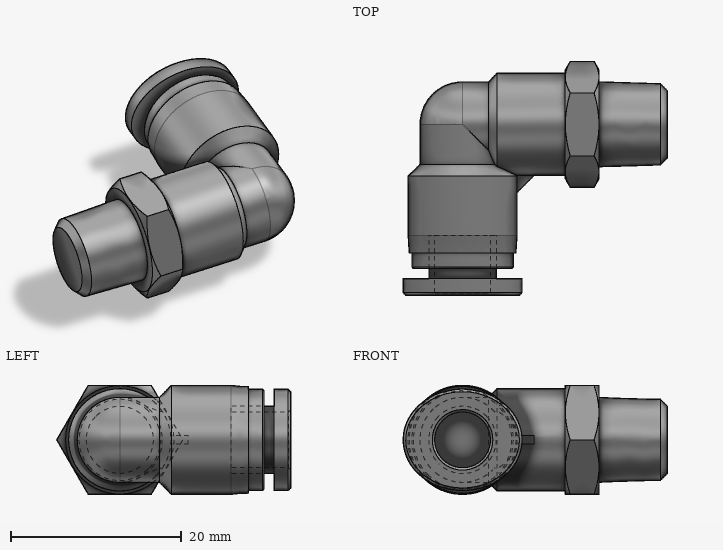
import cadquery as cq
import math


neck_radius = 5.0
threaded_arm_radius = 12.0 / 2
threaded_arm_cone_start = 3.07
threaded_arm_cone_end = 4.03
push_arm_radius = 12.8 / 2
push_arm_cone_start = 4.68
push_arm_cone_end = 6.05
push_arm_taper_start = 13.05
push_arm_taper_end = 15.1
push_arm_taper_radius = 6.25
collar_radius = 11.9 / 2
collar_end = 16.93
collar_chamfer = 0.2
rib_thickness = 1.0
rib_reach = 14.38

hex_start = 12.03
hex_length = 4.0
hex_sides = 6
hex_across_flats = 12.8
hex_chamfer_radius = 6.35
hex_chamfer_angle = 30
stud_end = 24.02
thread_start_radius = 5.0
thread_end_radius = 4.77
thread_chamfer = 0.85

flange_width = 13.95
flange_height = 11.9
flange_thickness = 1.95
flange_chamfer = 0.3
sleeve_end = 20.05
stem_radius = 7.9 / 2
bore_radius = 6.55 / 2
bore_chamfer = 0.28

hex_end = hex_start + hex_length
hex_across_corners = hex_across_flats / math.cos(math.pi / hex_sides)
flange_start = sleeve_end - flange_thickness
recess_floor = push_arm_taper_start


def turned_x(profile):
    """Revolve (distance along +X, radius) points about the X axis."""
    return cq.Workplane("XY").polyline(profile).close().revolve(360, (0, 0, 0), (1, 0, 0))


def turned_y(profile):
    """Revolve (distance along -Y, radius) points about the Y axis."""
    points = [(radius, -distance) for distance, radius in profile]
    return cq.Workplane("XY").polyline(points).close().revolve(360, (0, 0, 0), (0, 1, 0))


def cylinder_y(radius, start, end):
    """Cylinder on the Y axis between two distances along -Y."""
    return turned_y([(start, 0), (start, radius), (end, radius), (end, 0)])


def make_threaded_arm():
    return turned_x([
        (0, 0),
        (0, neck_radius),
        (threaded_arm_cone_start, neck_radius),
        (threaded_arm_cone_end, threaded_arm_radius),
        (hex_start, threaded_arm_radius),
        (hex_start, 0),
    ])


def make_push_arm():
    return turned_y([
        (0, 0),
        (0, neck_radius),
        (push_arm_cone_start, neck_radius),
        (push_arm_cone_end, push_arm_radius),
        (push_arm_taper_start, push_arm_radius),
        (push_arm_taper_end, push_arm_taper_radius),
        (push_arm_taper_end, collar_radius),
        (collar_end - collar_chamfer, collar_radius),
        (collar_end, collar_radius - collar_chamfer),
        (collar_end, 0),
    ])


def make_rib():
    """Triangular web in the inner corner between the arms."""
    inner_x = neck_radius
    inner_y = -neck_radius
    return (
        cq.Workplane("XY")
        .polyline([(inner_x, inner_y), (rib_reach + inner_y, inner_y), (inner_x, inner_x - rib_reach)])
        .close()
        .extrude(rib_thickness / 2, both=True)
    )


def make_elbow():
    corner = cq.Workplane("XY").sphere(neck_radius)
    recess = cylinder_y(stem_radius, recess_floor, collar_end)
    return make_threaded_arm().union(make_push_arm()).union(corner).union(make_rib()).cut(recess)


def make_hexagon():
    """Hexagon with flats facing up and down and conically chamfered corners."""
    prism = (
        cq.Workplane("YZ")
        .workplane(offset=hex_start)
        .polygon(hex_sides, hex_across_corners)
        .extrude(hex_length)
    )
    corner_radius = hex_across_corners / 2
    chamfer_length = (corner_radius - hex_chamfer_radius) * math.tan(math.radians(hex_chamfer_angle))
    envelope = turned_x([
        (hex_start, 0),
        (hex_start, hex_chamfer_radius),
        (hex_start + chamfer_length, corner_radius),
        (hex_end - chamfer_length, corner_radius),
        (hex_end, hex_chamfer_radius),
        (hex_end, 0),
    ])
    return prism.intersect(envelope)


def make_stud():
    thread = turned_x([
        (hex_end, 0),
        (hex_end, thread_start_radius),
        (stud_end - thread_chamfer, thread_end_radius),
        (stud_end, thread_end_radius - thread_chamfer),
        (stud_end, 0),
    ])
    return make_hexagon().union(thread)


def make_sleeve():
    """Tubular stem with an oval flange at its outer end."""
    flange = (
        cq.Workplane("XZ")
        .workplane(offset=flange_start)
        .ellipse(flange_width / 2, flange_height / 2)
        .extrude(flange_thickness)
        .faces("<Y")
        .chamfer(flange_chamfer)
    )
    stem = cylinder_y(stem_radius, recess_floor, flange_start)
    bore = turned_y([
        (recess_floor, 0),
        (recess_floor, bore_radius),
        (sleeve_end - bore_chamfer, bore_radius),
        (sleeve_end, bore_radius + bore_chamfer),
        (sleeve_end, 0),
    ])
    return flange.union(stem).cut(bore)


elbow = make_elbow()
stud = make_stud()
sleeve = make_sleeve()

result = cq.Compound.makeCompound([elbow.solids().val(), stud.solids().val(), sleeve.solids().val()])